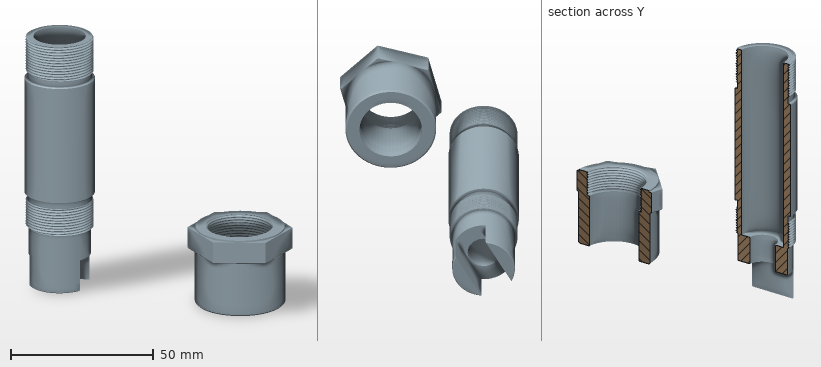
import cadquery as cq
import math

THREAD_PITCH = 1.0
THREAD_DEPTH = 0.6
CREST_WIDTH = THREAD_PITCH / 8
ROOT_WIDTH = THREAD_PITCH / 4
RIDGE_EMBEDDING = 0.1

TUBE_BOTTOM = 0.3
TUBE_TOP = 92.7
SLOT_TOP = 11.8
LOWER_THREAD_BOTTOM = 22.1
LOWER_THREAD_TOP = 32.0
BARREL_BOTTOM = 34.6
BARREL_TOP = 77.6
UPPER_THREAD_BOTTOM = 79.9

BARREL_DIAMETER = 24.9
BARREL_CHAMFER = 0.34
TUBE_THREAD_DIAMETER = 23.9
TUBE_ROOT_DIAMETER = TUBE_THREAD_DIAMETER - 2 * THREAD_DEPTH
NECK_DIAMETER = TUBE_ROOT_DIAMETER
TIP_DIAMETER = 22.1
TIP_CHAMFER = 0.3
SLOT_WIDTH = 12.1
WIDE_BORE_DIAMETER = 18.5
NARROW_BORE_DIAMETER = 11.2

OVERALL_LENGTH = 96.4
HEX_ACROSS_CORNERS = 37.0
HEX_TURN = 15
HEX_BOTTOM = 19.7
HEX_TOP = 27.7
HEX_CHAMFER = 0.4
HUB_DIAMETER = 32.0
HUB_CHAMFER = 0.6
RIM_DIAMETER = 31.4
BUSHING_TOP = 28.2
BUSHING_BORE_DIAMETER = 22.0
BUSHING_THREAD_LENGTH = 9.1
BUSHING_ROOT_DIAMETER = 24.2
HEX_REACH_X = HEX_ACROSS_CORNERS / 2 * math.cos(math.radians(HEX_TURN))
BUSHING_X = OVERALL_LENGTH - BARREL_DIAMETER / 2 - HEX_REACH_X
BUSHING_Y = -0.2


def cylinder(diameter, bottom, top):
    """Upright cylinder on the Z axis."""
    return cq.Workplane().workplane(offset=bottom).circle(diameter / 2).extrude(top - bottom)


def helical_ridge(root_diameter, bottom, top, outward):
    """Right-hand thread ridge standing THREAD_DEPTH proud of the root, square cut at both ends.

    outward = 1 stands away from the axis (external thread), -1 toward it (internal thread).
    """
    start = bottom - THREAD_PITCH
    length = top - bottom + 2 * THREAD_PITCH
    root_radius = root_diameter / 2
    crest_radius = root_radius + outward * THREAD_DEPTH
    base_radius = root_radius - outward * RIDGE_EMBEDDING
    crest_half = CREST_WIDTH / 2
    root_half = (THREAD_PITCH - ROOT_WIDTH) / 2
    base_half = root_half + (root_half - crest_half) * RIDGE_EMBEDDING / THREAD_DEPTH
    profile = (
        cq.Workplane("XZ")
        .moveTo(base_radius, start - base_half)
        .lineTo(crest_radius, start - crest_half)
        .lineTo(crest_radius, start + crest_half)
        .lineTo(base_radius, start + base_half)
        .close()
    )
    path = cq.Wire.makeHelix(THREAD_PITCH, length, root_radius, center=cq.Vector(0, 0, start))
    ridge = profile.sweep(cq.Workplane(path), isFrenet=True)
    return ridge.intersect(cylinder(HEX_ACROSS_CORNERS, bottom, top))


def threaded_band(bottom, top):
    """Length of external thread on its core."""
    return cylinder(TUBE_ROOT_DIAMETER, bottom, top).union(helical_ridge(TUBE_ROOT_DIAMETER, bottom, top, 1))


def make_tube():
    """Stepped tube: slotted tip, lower thread, barrel and upper thread."""
    tip = (
        cylinder(TIP_DIAMETER, TUBE_BOTTOM, LOWER_THREAD_BOTTOM)
        .faces("<Z").chamfer(TIP_CHAMFER)
    )
    barrel = cylinder(BARREL_DIAMETER, BARREL_BOTTOM, BARREL_TOP).faces(">Z").chamfer(BARREL_CHAMFER)
    tube = (
        barrel
        .union(cylinder(NECK_DIAMETER, LOWER_THREAD_TOP, BARREL_BOTTOM))
        .union(cylinder(NECK_DIAMETER, BARREL_TOP, UPPER_THREAD_BOTTOM))
        .union(threaded_band(LOWER_THREAD_BOTTOM, LOWER_THREAD_TOP))
        .union(threaded_band(UPPER_THREAD_BOTTOM, TUBE_TOP))
        .union(tip)
    )
    wide_bore = cylinder(WIDE_BORE_DIAMETER, LOWER_THREAD_BOTTOM, TUBE_TOP)
    narrow_bore = cylinder(NARROW_BORE_DIAMETER, TUBE_BOTTOM, LOWER_THREAD_BOTTOM)
    slot = (
        cq.Workplane()
        .workplane(offset=TUBE_BOTTOM)
        .rect(BARREL_DIAMETER, SLOT_WIDTH)
        .extrude(SLOT_TOP - TUBE_BOTTOM)
    )
    return tube.cut(wide_bore).cut(narrow_bore).cut(slot)


def hex_head():
    """Hexagonal head with a chamfered bottom edge."""
    head = (
        cq.Workplane()
        .workplane(offset=HEX_BOTTOM)
        .polygon(6, HEX_ACROSS_CORNERS)
        .extrude(HEX_TOP - HEX_BOTTOM)
        .rotate((0, 0, 0), (0, 0, 1), HEX_TURN)
    )
    return head.faces("<Z").chamfer(HEX_CHAMFER)


def make_bushing():
    """Hex-headed bushing with a round hub and an internal thread at the top of its bore."""
    hub = cylinder(HUB_DIAMETER, 0, HEX_BOTTOM).faces("<Z").chamfer(HUB_CHAMFER)
    rim = cylinder(RIM_DIAMETER, HEX_TOP, BUSHING_TOP)
    thread_bottom = BUSHING_TOP - BUSHING_THREAD_LENGTH
    root_bore = cylinder(BUSHING_ROOT_DIAMETER, thread_bottom, BUSHING_TOP)
    return (
        hub.union(hex_head()).union(rim)
        .cut(cylinder(BUSHING_BORE_DIAMETER, 0, BUSHING_TOP))
        .cut(root_bore)
        .union(helical_ridge(BUSHING_ROOT_DIAMETER, thread_bottom, BUSHING_TOP, -1))
        .translate((BUSHING_X, BUSHING_Y, 0))
    )


tube = make_tube()
bushing = make_bushing()

result = cq.Compound.makeCompound([tube.val(), bushing.val()])